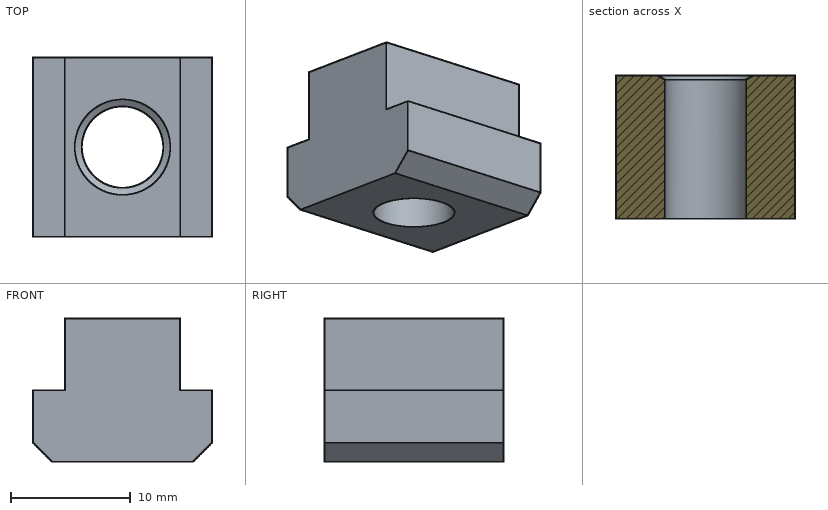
import cadquery as cq

length = 15.0
base_width = 15.0
total_height = 12.0

neck_width = 9.65
base_height = 6.0
bottom_chamfer = 1.6

hole_diameter = 6.8
countersink_diameter = 8.0
countersink_angle = 120.0


def box_on(bottom, width, height):
    """Full-length block centred in X and Y, resting at the given height."""
    return (
        cq.Workplane("XY")
        .workplane(offset=bottom)
        .box(width, length, height, centered=(True, True, False))
    )


base = box_on(0, base_width, base_height)
base = base.faces("<Z").edges("|Y").chamfer(bottom_chamfer)

neck = box_on(base_height, neck_width, total_height - base_height)
body = base.union(neck)

result = body.faces(">Z").workplane(origin=(0, 0, total_height)).cskHole(
    hole_diameter, countersink_diameter, countersink_angle
)